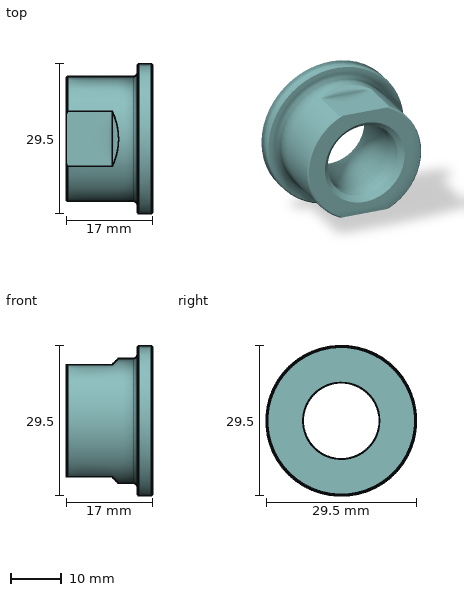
import cadquery as cq

total_length = 17.0
flange_diameter = 29.5
flange_thickness = 3.0
body_diameter = 24.5
bore_diameter = 14.95

edge_chamfer = 0.3
root_fillet = 0.8
bore_chamfer = 1.05

flat_distance = 22.0
flat_length = 9.05

flange_start = total_length - flange_thickness
flange_radius = flange_diameter / 2
body_radius = body_diameter / 2
bore_radius = bore_diameter / 2


def make_turned_body():
    """Revolve the flanged sleeve, with its bore, about the X axis."""
    root_corner = (flange_start, body_radius + root_fillet)
    return (
        cq.Workplane("XY")
        .moveTo(bore_chamfer, bore_radius)
        .lineTo(0, bore_radius + bore_chamfer)
        .lineTo(0, body_radius - edge_chamfer)
        .lineTo(edge_chamfer, body_radius)
        .lineTo(flange_start - root_fillet, body_radius)
        .radiusArc(root_corner, -root_fillet)
        .lineTo(flange_start, flange_radius - edge_chamfer)
        .lineTo(flange_start + edge_chamfer, flange_radius)
        .lineTo(total_length - edge_chamfer, flange_radius)
        .lineTo(total_length, flange_radius - edge_chamfer)
        .lineTo(total_length, bore_radius)
        .close()
        .revolve(360, (0, 0, 0), (1, 0, 0))
    )


def make_flat_cutter():
    """Wedge that removes the material above the upper flat."""
    flat_height = flat_distance / 2
    cut_depth = body_radius - flat_height
    return (
        cq.Workplane("XZ")
        .moveTo(0, flat_height)
        .lineTo(flat_length, flat_height)
        .lineTo(flat_length + cut_depth, body_radius)
        .lineTo(0, body_radius)
        .close()
        .extrude(body_radius, both=True)
    )


upper_cutter = make_flat_cutter()
lower_cutter = upper_cutter.mirror("XY")
result = make_turned_body().cut(upper_cutter).cut(lower_cutter)